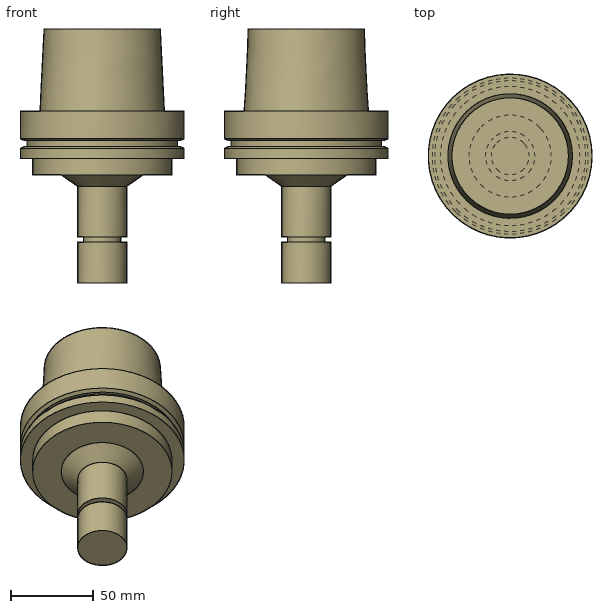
import cadquery as cq

TOTAL_LENGTH = 155.0

TAPER_LENGTH = 50.0
TAPER_TOP_DIAMETER = 71.0
TAPER_BASE_DIAMETER = 76.0
FLANGE_DIAMETER = 100.0
FLANGE_THICKNESS = 29.0
FLANGE_GROOVE_DIAMETER = 92.0
BEVEL_INNER_DIAMETER = 95.2
UPPER_RIM_THICKNESS = 16.9
UPPER_BEVEL_HEIGHT = 1.1
FLANGE_GROOVE_WIDTH = 3.5
LOWER_BEVEL_HEIGHT = 1.4
COLLAR_DIAMETER = 85.0
COLLAR_HEIGHT = 9.9

HEAD_DIAMETER = 50.0
HEAD_HEIGHT = 7.0
SHANK_DIAMETER = 30.0
SHANK_GROOVE_DIAMETER = 23.0
SHANK_GROOVE_WIDTH = 3.3
SHANK_TIP_LENGTH = 25.0

COLLAR_BOTTOM = -FLANGE_THICKNESS - COLLAR_HEIGHT
SHANK_BOTTOM = TAPER_LENGTH - TOTAL_LENGTH


def revolve_profile(points):
    """Revolve a closed (radius, height) outline about the Z axis."""
    return cq.Workplane("XZ").polyline(points).close().revolve(360, (0, 0), (0, 1))


def make_holder():
    """Tapered plug on a flange with a square groove between bevels, and a collar below."""
    flange_radius = FLANGE_DIAMETER / 2
    groove_radius = FLANGE_GROOVE_DIAMETER / 2
    bevel_radius = BEVEL_INNER_DIAMETER / 2
    collar_radius = COLLAR_DIAMETER / 2
    groove_top = -UPPER_RIM_THICKNESS - UPPER_BEVEL_HEIGHT
    groove_bottom = groove_top - FLANGE_GROOVE_WIDTH
    return revolve_profile([
        (0, TAPER_LENGTH),
        (TAPER_TOP_DIAMETER / 2, TAPER_LENGTH),
        (TAPER_BASE_DIAMETER / 2, 0),
        (flange_radius, 0),
        (flange_radius, -UPPER_RIM_THICKNESS),
        (bevel_radius, groove_top),
        (groove_radius, groove_top),
        (groove_radius, groove_bottom),
        (bevel_radius, groove_bottom),
        (flange_radius, groove_bottom - LOWER_BEVEL_HEIGHT),
        (flange_radius, -FLANGE_THICKNESS),
        (collar_radius, -FLANGE_THICKNESS),
        (collar_radius, COLLAR_BOTTOM),
        (0, COLLAR_BOTTOM),
    ])


def make_shank():
    """Conical head seated on the collar, with a grooved cylinder below."""
    shank_radius = SHANK_DIAMETER / 2
    groove_radius = SHANK_GROOVE_DIAMETER / 2
    groove_bottom = SHANK_BOTTOM + SHANK_TIP_LENGTH
    groove_top = groove_bottom + SHANK_GROOVE_WIDTH
    head_bottom = COLLAR_BOTTOM - HEAD_HEIGHT
    return revolve_profile([
        (0, COLLAR_BOTTOM),
        (HEAD_DIAMETER / 2, COLLAR_BOTTOM),
        (shank_radius, head_bottom),
        (shank_radius, groove_top),
        (groove_radius, groove_top),
        (groove_radius, groove_bottom),
        (shank_radius, groove_bottom),
        (shank_radius, SHANK_BOTTOM),
        (0, SHANK_BOTTOM),
    ])


holder = make_holder()
shank = make_shank()
result = cq.Compound.makeCompound([holder.val(), shank.val()])